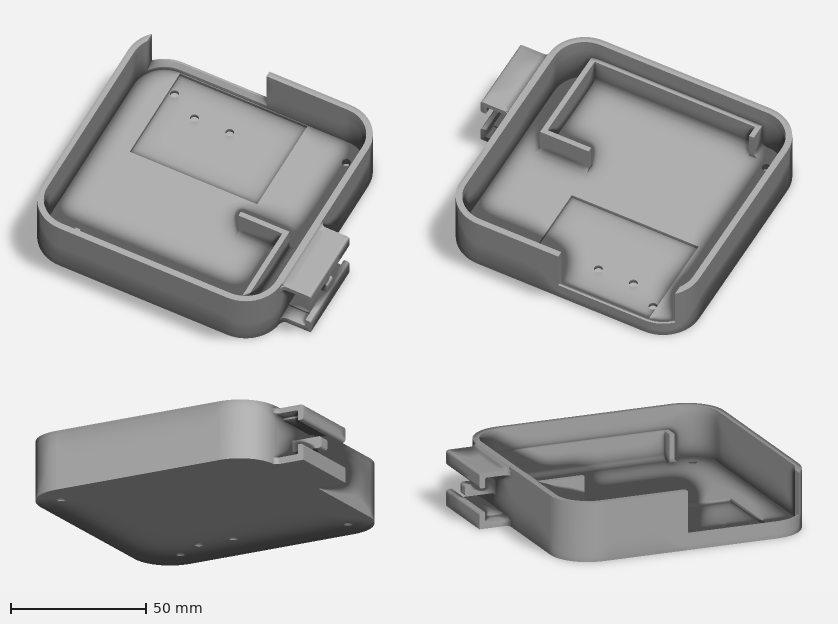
import cadquery as cq
import math

side = 100.0
height = 23.0
corner_radius = 15.0
wall = 2.5
floor_top = 3.0
inner_edge = side - wall

recess_left = 15.2
recess_right = 68.3
recess_front = 56.7
recess_depth = 1.5
recess_rear_gap = 0.2

notch_left = 4.5
notch_right = 51.1
notch_front = 89.6
sill_height = 6.5
sill_bevel = 1.7
sill_bevel_drop = 1.7

hole_diameter = 3.2
hole_centres = [(17.2, 88.9), (28.9, 82.4), (43.6, 82.4), (88.8, 88.9), (11.0, 11.2)]

rib = 2.0
rib_top = 14.2
foot_radius = 2.0
back_rib_left = recess_right
back_rib_rear = 43.5
side_rib_right = 88.6
end_rib_left = 17.4
end_rib_rear = 9.0
front_ledge_rear = 4.1

clip_reach = 112.0 - side
clip_front = 15.1
clip_width = 31.2
lip_thickness = 2.2
upper_hook_top = 21.7
upper_arm_thickness = 2.0
lower_arm_thickness = 2.6
upper_lip_bottom = 15.8
lower_lip_top = 6.4
tip_radius = 1.0
hook_inner_radius = 0.8
pad_height = 0.8
pad_setback = 5.6
clip_root_radius = 2.0
bar_bottom = 8.7
bar_size = 4.5
bar_root_radius = 1.1
clip_end = side + clip_reach
clip_rear = clip_front + clip_width
clip_middle = (clip_front + clip_rear) / 2
lip_inner = clip_end - lip_thickness


def box(x0, x1, y0, y1, z0, z1):
    """Block between two opposite corners."""
    return cq.Workplane("XY").box(x1 - x0, y1 - y0, z1 - z0, centered=False).translate((x0, y0, z0))


def rounded_square(inset, z0, z1):
    """Block with the tray outline moved inward by the inset."""
    block = box(inset, side - inset, inset, side - inset, z0, z1)
    return block.edges("|Z").fillet(corner_radius - inset)


def foot(plane, u, v, du, dv, radius, start, length):
    """Concave strip filling the corner at (u, v); du and dv give the open directions."""
    centre = (u + du * radius, v + dv * radius)
    diagonal = radius * 0.5 ** 0.5
    middle = (centre[0] - du * diagonal, centre[1] - dv * diagonal)
    strip = (
        cq.Workplane(plane)
        .moveTo(u, v)
        .lineTo(centre[0], v)
        .threePointArc(middle, (u, centre[1]))
        .close()
        .extrude(length)
    )
    return strip.translate(cq.Workplane(plane).plane.zDir * start)


def make_tray():
    tray = rounded_square(0, 0, height).cut(rounded_square(wall, floor_top, height))
    recess_rear = inner_edge - recess_rear_gap
    recess_bottom = floor_top - recess_depth
    tray = tray.cut(box(recess_left, recess_right, recess_front, recess_rear, recess_bottom, floor_top))

    notch = box(notch_left, notch_right, notch_front, side, sill_height, height)
    bevel_angle = math.degrees(math.atan2(sill_bevel, sill_bevel_drop))
    bevel_outline = rounded_square(wall - sill_bevel, sill_height, height).faces("<Z").wires()
    bevel = bevel_outline.toPending().extrude(-sill_bevel_drop, taper=bevel_angle, combine=False)
    bevel = bevel.intersect(box(notch_left, notch_right, notch_front, side, 0, height))
    return tray.cut(notch).cut(bevel)


def make_compartment():
    side_rib_left = side_rib_right - rib
    back_rib_front = back_rib_rear - rib
    end_rib_right = end_rib_left + rib
    ribs = box(back_rib_left, side_rib_right, back_rib_front, back_rib_rear, floor_top, rib_top)
    ribs = ribs.union(box(side_rib_left, side_rib_right, wall, back_rib_rear, floor_top, rib_top))
    ribs = ribs.union(box(end_rib_left, end_rib_right, wall, end_rib_rear, floor_top, rib_top))
    ribs = ribs.union(box(end_rib_left, side_rib_right, wall, front_ledge_rear, floor_top, rib_top))

    foot_end = side_rib_right + foot_radius
    foot_rear = back_rib_rear + foot_radius
    rear_foot = foot("YZ", back_rib_rear, floor_top, 1, 1, foot_radius, back_rib_left,
                     foot_end - back_rib_left)
    side_foot = foot("XZ", side_rib_right, floor_top, 1, 1, foot_radius, -foot_rear, foot_rear - wall)
    mitre = (
        cq.Workplane("XY")
        .moveTo(side_rib_right, back_rib_rear)
        .lineTo(foot_end, foot_rear)
        .lineTo(foot_end, wall)
        .lineTo(side_rib_right, wall)
        .close()
        .extrude(height)
    )
    ribs = ribs.union(rear_foot.cut(mitre)).union(side_foot.intersect(mitre))
    ribs = ribs.union(foot("YZ", back_rib_front, floor_top, -1, 1, foot_radius, back_rib_left,
                           side_rib_left - back_rib_left))
    ribs = ribs.union(foot("YZ", front_ledge_rear, floor_top, 1, 1, foot_radius, end_rib_right,
                           side_rib_left - end_rib_right))
    ribs = ribs.union(foot("XZ", end_rib_left, floor_top, -1, 1, foot_radius, -end_rib_rear,
                           end_rib_rear - wall))
    return ribs.intersect(rounded_square(wall, 0, height))


def make_hook(arm_z0, arm_z1, lip_z0, lip_z1, inner_z, inward):
    """Hook whose lip points inward (+1 up, -1 down); inner_z is the arm's inner face."""
    arm = box(side, clip_end, clip_front, clip_rear, arm_z0, arm_z1)
    lip = box(lip_inner, clip_end, clip_front, clip_rear, lip_z0, lip_z1)
    hook = arm.union(lip)
    hook = hook.edges("|Y and >X and >Z").fillet(tip_radius)
    if inward < 0:
        hook = hook.edges("|Y and >X and <Z").fillet(tip_radius)
    for corner, direction in ((side, 1), (lip_inner, -1)):
        hook = hook.union(foot("XZ", corner, inner_z, direction, inward, hook_inner_radius,
                               -clip_rear, clip_width))
    pad_edge = inner_z + inward * pad_height
    hook = hook.union(box(side, lip_inner, clip_front + pad_setback, clip_rear - pad_setback,
                          min(inner_z, pad_edge), max(inner_z, pad_edge)))
    for edge, direction in ((clip_front, -1), (clip_rear, 1)):
        hook = hook.union(foot("XY", side, edge, 1, direction, clip_root_radius, arm_z0, arm_z1 - arm_z0))
    return hook


def make_clip():
    upper_inner = upper_hook_top - upper_arm_thickness
    clip = make_hook(upper_inner, upper_hook_top, upper_lip_bottom, upper_hook_top, upper_inner, -1)
    clip = clip.union(make_hook(0, lower_arm_thickness, 0, lower_lip_top, lower_arm_thickness, 1))
    root = foot("XZ", side, upper_hook_top, 1, 1, clip_root_radius, -clip_rear, clip_width)
    clip = clip.union(root.intersect(box(side, clip_end, 0, side, 0, height)))

    bar_front = clip_middle - bar_size / 2
    bar_rear = bar_front + bar_size
    bar_top = bar_bottom + bar_size
    bar = box(side, clip_end, bar_front, bar_rear, bar_bottom, bar_top)
    bar = bar.edges("|Y and >X").fillet(tip_radius)
    for edge, direction in ((bar_bottom, -1), (bar_top, 1)):
        bar = bar.union(foot("XZ", side, edge, 1, direction, bar_root_radius, -bar_rear, bar_size))
    for edge, direction in ((bar_front, -1), (bar_rear, 1)):
        bar = bar.union(foot("XY", side, edge, 1, direction, bar_root_radius, bar_bottom, bar_size))
    return clip.union(bar)


holes = cq.Workplane("XY").pushPoints(hole_centres).circle(hole_diameter / 2).extrude(floor_top)

result = make_tray().union(make_compartment()).union(make_clip()).cut(holes)